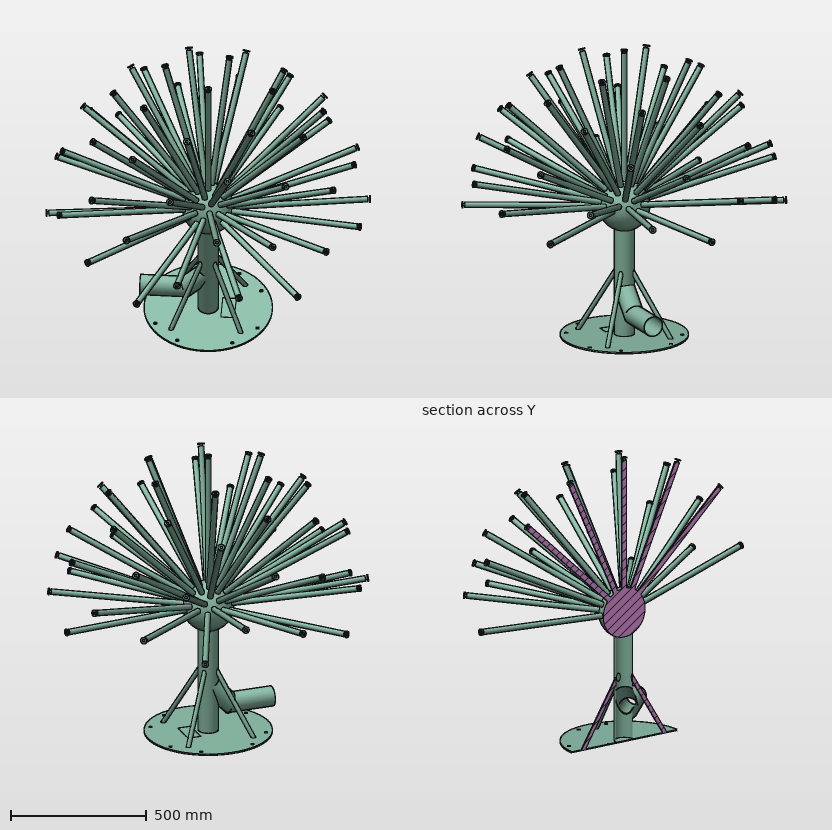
import cadquery as cq
import math

base_diameter = 475.0
base_thickness = 6.0
base_hole_diameter = 12.0
base_hole_radius = 215.0
base_hole_offset_angle = 16.7

name_plate_width = 105.0
name_plate_depth = 50.0
name_plate_thickness = 1.0
name_plate_distance = 75.0

pipe_diameter = 76.0
pipe_bore = 73.0
inlet_direction = 225
inlet_height = 103.0
inlet_reach = 252.0
junction_height = 187.0

brace_diameter = 17.0
brace_foot_radius = 185.0
brace_top_height = 303.0
brace_count = 4

overall_height = 1100.0
spray_radius = 600.0
ball_diameter = 191.0
ball_height = overall_height - spray_radius
tube_diameter = 21.0
tube_root_radius = 88.0
stem_diameter = 9.0
stem_length = 7.0
cap_diameter = 25.0
cap_thickness = 4.0
cap_chamfer = 0.6
cap_recess_diameter = 10.5
cap_recess_depth = 1.0

tubes_per_ring = 6
spray_rings = [
    (1.1, 52.6),
    (8.0, 30.0),
    (13.1, 7.5),
    (25.0, 45.0),
    (30.3, 22.5),
    (43.3, 0.0),
    (51.6, 30.0),
    (66.0, 0.0),
]


def rod(start, end, diameter):
    """Solid round bar between two points."""
    axis = cq.Vector(*end) - cq.Vector(*start)
    return cq.Workplane(cq.Solid.makeCylinder(diameter / 2, axis.Length, cq.Vector(*start), axis))


def make_base():
    base = cq.Workplane("XY").circle(base_diameter / 2).extrude(base_thickness)
    hole_points = []
    for axis_angle in range(0, 360, 90):
        for side in (-1, 1):
            angle = math.radians(axis_angle + side * base_hole_offset_angle)
            hole_points.append((base_hole_radius * math.cos(angle), base_hole_radius * math.sin(angle)))
    holes = cq.Workplane("XY").pushPoints(hole_points).circle(base_hole_diameter / 2).extrude(base_thickness)
    return base.cut(holes)


def make_name_plate():
    name_plate = (
        cq.Workplane("XY", origin=(-name_plate_distance, 0, base_thickness))
        .rect(name_plate_depth, name_plate_width)
        .extrude(name_plate_thickness)
    )
    return name_plate.rotate((0, 0, 0), (0, 0, 1), inlet_direction)


def inlet_run(diameter):
    """Level run and 45 degree run, mitred together, ending on the column axis."""
    path = (
        cq.Workplane("XZ")
        .moveTo(inlet_reach, inlet_height)
        .lineTo(junction_height - inlet_height, inlet_height)
        .lineTo(0, junction_height)
    )
    run = (
        cq.Workplane("YZ", origin=(inlet_reach, 0, inlet_height))
        .circle(diameter / 2)
        .sweep(path, transition="right")
    )
    return run.rotate((0, 0, 0), (0, 0, 1), inlet_direction)


def column(diameter, top):
    """Upright cylinder from the top of the base plate to the given height."""
    height = top - base_thickness
    return cq.Workplane("XY", origin=(0, 0, base_thickness)).circle(diameter / 2).extrude(height)


def make_braces():
    """Sloping bars from the column axis to the base, cut off flush with the underside of the base."""
    below_base = cq.Workplane("XY").circle(base_diameter / 2).extrude(-brace_diameter)
    top = (0, 0, brace_top_height)
    braces = []
    for index in range(brace_count):
        angle = 2 * math.pi * index / brace_count
        foot = (brace_foot_radius * math.cos(angle), brace_foot_radius * math.sin(angle), 0)
        braces.append(rod(foot, top, brace_diameter).cut(below_base))
    return braces


def make_spray_tube():
    """One upright tube with its nozzle, measured from the ball centre along +Z."""
    cap_base = spray_radius - cap_thickness
    tube_end = cap_base - stem_length
    recess_floor = spray_radius - cap_recess_depth
    profile = [
        (0, tube_root_radius),
        (tube_diameter / 2, tube_root_radius),
        (tube_diameter / 2, tube_end),
        (stem_diameter / 2, tube_end),
        (stem_diameter / 2, cap_base),
        (cap_diameter / 2, cap_base),
        (cap_diameter / 2, spray_radius - cap_chamfer),
        (cap_diameter / 2 - cap_chamfer, spray_radius),
        (cap_recess_diameter / 2, spray_radius),
        (cap_recess_diameter / 2, recess_floor),
        (0, recess_floor),
    ]
    return cq.Workplane("XZ").polyline(profile).close().revolve(360, (0, 0), (0, 1))


def make_spray():
    upright = make_spray_tube()
    tubes = [upright]
    for elevation, first_direction in spray_rings:
        leaning = upright.rotate((0, 0, 0), (0, 1, 0), 90 - elevation)
        for index in range(tubes_per_ring):
            direction = first_direction + 360 / tubes_per_ring * index
            tubes.append(leaning.rotate((0, 0, 0), (0, 0, 1), direction))
    return [tube.translate((0, 0, ball_height)) for tube in tubes]


column_top = ball_height - math.sqrt(ball_diameter**2 - pipe_diameter**2) / 2
body = column(pipe_diameter, ball_height).union(inlet_run(pipe_diameter))
for brace in make_braces():
    body = body.union(brace)
body = body.cut(column(pipe_bore, column_top)).cut(inlet_run(pipe_bore))
body = body.union(make_base()).union(make_name_plate())

ball = cq.Workplane("XY", origin=(0, 0, ball_height)).sphere(ball_diameter / 2)
body = body.union(ball)
result = cq.Workplane(body.val().fuse(*[tube.val() for tube in make_spray()]))